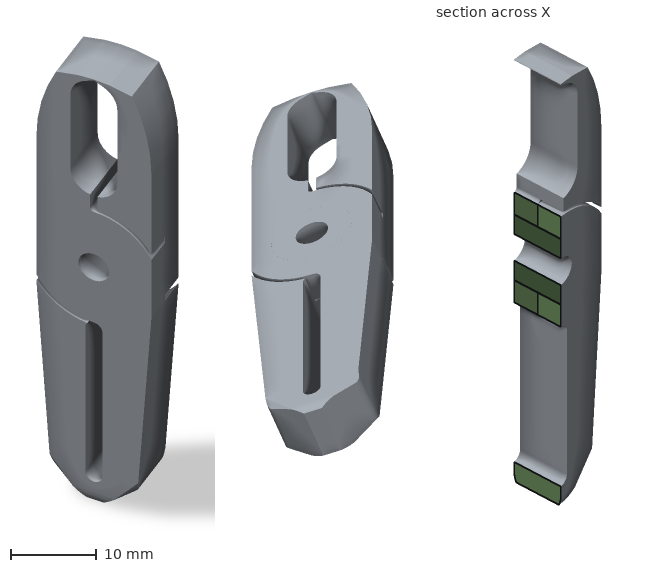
import cadquery as cq
import math


thickness = 7.0
half_width = 7.51
jaw_top = 28.9
tip_bottom = jaw_top - 65
margin = 6.5

jaw_curve_start = 17.3
jaw_corner_x = 4.95
jaw_corner_z = 28.2
jaw_facet_x = 2.1
jaw_facet_z = 28.8

taper_start = -5.0
taper_end_x = 5.8
taper_end_z = -31.0
corner_x = 5.7
corner_z = -32.4
corner_radius = 1.55
tip_half_width = 1.1

face_end_x = 2.7
face_end_z = -34.7
bevel_slope = 0.76
tip_round_depth = 0.3

bush_radius = 5.0
bore_radius = 2.0
disc_radius = 8.5
recess_radius = 9.0

window_radius = 3.05
window_bottom_center = 14.05
window_top_center = 25.4
window_apex = 28.8
jaw_slit_radius = 0.49
handle_slot_radius = 1.1
handle_slot_bottom = -33.0


def xz_plate(sketch, y_start, y_end):
    """Extrude a closed XZ outline between two Y positions."""
    return sketch.extrude(y_start - y_end).translate((0, y_start, 0))


def full_plate(sketch):
    return xz_plate(sketch, -thickness / 2, thickness / 2)


def disc(radius, y_start, y_end):
    return xz_plate(cq.Workplane("XZ").circle(radius), y_start, y_end)


def box_between(x_range, y_range, z_range):
    size = [high - low for low, high in (x_range, y_range, z_range)]
    corner = (x_range[0], y_range[0], z_range[0])
    return cq.Workplane("XY").box(*size, centered=False).translate(corner)


def closed_outline():
    """Both levers together, before the openings are cut."""
    rise = jaw_corner_z - jaw_curve_start
    inset = half_width - jaw_corner_x
    curve_radius = (rise**2 + inset**2) / (2 * inset)
    mid_angle = math.asin(rise / curve_radius) / 2
    mid_x = half_width - curve_radius * (1 - math.cos(mid_angle))
    mid_z = jaw_curve_start + curve_radius * math.sin(mid_angle)
    sketch = (
        cq.Workplane("XZ")
        .moveTo(0, jaw_top)
        .lineTo(jaw_facet_x, jaw_facet_z)
        .lineTo(jaw_corner_x, jaw_corner_z)
        .threePointArc((mid_x, mid_z), (half_width, jaw_curve_start))
        .lineTo(half_width, taper_start)
        .lineTo(taper_end_x, taper_end_z)
        .lineTo(corner_x, corner_z)
        .lineTo(tip_half_width, tip_bottom)
        .lineTo(-tip_half_width, tip_bottom)
        .lineTo(-corner_x, corner_z)
        .lineTo(-taper_end_x, taper_end_z)
        .lineTo(-half_width, taper_start)
        .lineTo(-half_width, jaw_curve_start)
        .threePointArc((-mid_x, mid_z), (-jaw_corner_x, jaw_corner_z))
        .lineTo(-jaw_facet_x, jaw_facet_z)
        .close()
    )
    plate = full_plate(sketch)
    for side in (-1, 1):
        near_corner = cq.selectors.NearestToPointSelector((side * corner_x, 0, corner_z))
        plate = plate.edges(near_corner).fillet(corner_radius)
    return plate


def window():
    """Round-bottomed opening whose top closes to a point where the jaws meet."""
    apex_rise = window_apex - window_top_center
    tangent_angle = math.acos(window_radius / apex_rise)
    tangent_x = window_radius * math.sin(tangent_angle)
    tangent_z = window_top_center + window_radius * math.cos(tangent_angle)
    mid_angle = (math.pi / 2 + tangent_angle) / 2
    mid_x = window_radius * math.sin(mid_angle)
    mid_z = window_top_center + window_radius * math.cos(mid_angle)
    sketch = (
        cq.Workplane("XZ")
        .moveTo(0, window_apex)
        .lineTo(tangent_x, tangent_z)
        .threePointArc((mid_x, mid_z), (window_radius, window_top_center))
        .lineTo(window_radius, window_bottom_center)
        .threePointArc(
            (0, window_bottom_center - window_radius),
            (-window_radius, window_bottom_center),
        )
        .lineTo(-window_radius, window_top_center)
        .threePointArc((-mid_x, mid_z), (-tangent_x, tangent_z))
        .close()
    )
    return full_plate(sketch)


def slot(radius, bottom, top):
    """Vertical slot with round ends, centred on X = 0."""
    center_z = (bottom + top) / 2
    return full_plate(cq.Workplane("XZ").center(0, center_z).slot2D(top - bottom, 2 * radius, 90))


def tip_bevel():
    """Planar bevel along the +X edge of the handle tip, on the -Y face."""
    run_x = face_end_x - taper_end_x
    run_z = face_end_z - taper_end_z
    plane = cq.Plane(
        origin=(taper_end_x, -thickness / 2, taper_end_z),
        xDir=(-run_z, 0, run_x),
        normal=(run_x, 0, run_z),
    )
    reach = thickness / 4
    wedge = (
        cq.Workplane(plane)
        .polyline([(0, 0), (reach, -bevel_slope * reach), (reach, 0)])
        .close()
    )
    return wedge.extrude(math.hypot(run_x, run_z))


def tip_round():
    """Rounded relief across the bottom of the handle tip, on the -Y face."""
    height = face_end_z - tip_bottom
    radius = (height**2 + tip_round_depth**2) / (2 * tip_round_depth)
    mid_angle = math.asin(height / radius) / 2
    face_y = -thickness / 2
    mid_y = face_y + radius * (1 - math.cos(mid_angle))
    mid_z = face_end_z - radius * math.sin(mid_angle)
    return (
        cq.Workplane("YZ")
        .moveTo(face_y, face_end_z)
        .threePointArc((mid_y, mid_z), (face_y + tip_round_depth, tip_bottom))
        .lineTo(face_y, tip_bottom)
        .close()
        .extrude(half_width, both=True)
    )


def make_blank():
    """The joined lever pair with its openings, tip reliefs and bush hole."""
    blank = closed_outline()
    blank = blank.cut(window())
    blank = blank.cut(slot(jaw_slit_radius, disc_radius, window_bottom_center))
    blank = blank.cut(slot(handle_slot_radius, handle_slot_bottom, -disc_radius))
    bevel = tip_bevel()
    bottom_round = tip_round()
    for relief in (bevel, bevel.mirror("YZ"), bottom_round):
        blank = blank.cut(relief).cut(relief.mirror("XZ"))
    return blank.cut(disc(bush_radius, -thickness / 2, thickness / 2))


def make_lever(blank):
    """Lever with its jaw on -X, its handle on +X and its half-lap disc on -Y."""
    x_limit = half_width + margin
    y_range = (-thickness / 2, thickness / 2)
    jaw_side = box_between((-x_limit, 0), y_range, (0, jaw_top + margin))
    handle_side = box_between((0, x_limit), y_range, (tip_bottom - margin, 0))
    recess = disc(recess_radius, 0, thickness / 2)
    lap_disc = disc(disc_radius, -thickness / 2, 0)
    envelope = jaw_side.cut(recess).union(handle_side.cut(recess)).union(lap_disc)
    return blank.intersect(envelope)


def make_bush():
    bush = disc(bush_radius, -thickness / 2, thickness / 2)
    return bush.cut(disc(bore_radius, -thickness / 2, thickness / 2))


lever_blank = make_blank()
levers = [
    make_lever(lever_blank).rotate((0, 0, 0), (0, 0, 1), angle)
    for angle in (0, 180)
]
bush = make_bush()

result = cq.Compound.makeCompound([*[lever.solids().val() for lever in levers], bush.val()])